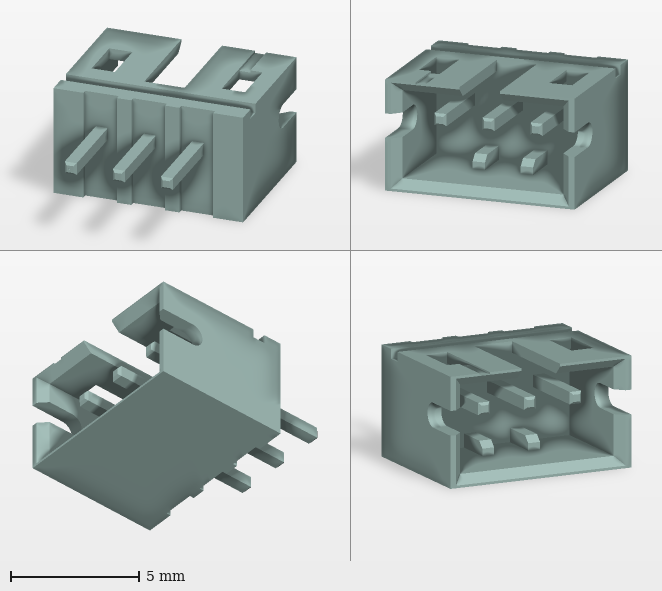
import cadquery as cq

overall_length = 9.4
body_width = 7.9
body_depth = 6.0
body_height = 4.5

pin_pitch = 2.0
pin_offsets = (-pin_pitch, 0.0, pin_pitch)
pin_size = 0.5
pin_height = 2.81
pin_tip_y = body_depth - overall_length
pin_inner_y = 5.11
pin_chamfer = 0.1
mark_diameter = 0.09
mark_depth = 0.05

side_wall = 0.6
top_wall = 0.46
bottom_wall = 0.46
cavity_back_y = 1.81
mouth_chamfer = 0.36
cavity_width = body_width - 2 * side_wall
cavity_height = body_height - top_wall - bottom_wall
cavity_mid_z = bottom_wall + cavity_height / 2

rib_width = 0.52
rib_height = 0.56
rib_end_y = 3.4
rib_chamfer = 0.26

top_slot_width = 1.68
window_width = 0.97
window_offset = 2.71
window_back_y = 2.25
window_front_y = 4.22
key_groove_width = 0.46
key_groove_depth = 0.09

channel_back_y = 0.83
channel_front_y = 1.38
channel_depth = 0.395

side_slot_height = 1.0
side_slot_depth = 2.0
side_slot_z = 2.63

recess_width = 1.4
recess_depth = 0.2


def block(x_range, y_range, z_range):
    """Box spanning the given (low, high) ranges."""
    sizes = [high - low for low, high in (x_range, y_range, z_range)]
    corner = (x_range[0], y_range[0], z_range[0])
    return cq.Workplane("XY").box(*sizes, centered=False).translate(corner)


def span(centre, width):
    """Range of the given width about a centre."""
    return (centre - width / 2, centre + width / 2)


def cavity():
    """Rectangular pocket open at the mouth, flared by a 45 degree lead-in."""
    pocket = block(
        span(0, cavity_width),
        (cavity_back_y, body_depth),
        span(cavity_mid_z, cavity_height),
    )
    flare = (
        cq.Workplane("XZ", origin=(0, body_depth, cavity_mid_z))
        .rect(cavity_width + 2 * mouth_chamfer, cavity_height + 2 * mouth_chamfer)
        .extrude(mouth_chamfer, taper=45)
    )
    return pocket.union(flare)


def top_openings():
    """Central slot, two windows and the shallow groove from one window to the mouth."""
    wall_z = (body_height - top_wall, body_height)
    openings = block(span(0, top_slot_width), (cavity_back_y, body_depth), wall_z)
    for side in (-1, 1):
        window_x = span(side * window_offset, window_width)
        openings = openings.union(block(window_x, (window_back_y, window_front_y), wall_z))
    groove_x = window_offset - window_width / 2
    return openings.union(
        block(
            (groove_x, groove_x + key_groove_width),
            (window_front_y, body_depth),
            (body_height - key_groove_depth, body_height),
        )
    )


def side_slots():
    """Round-ended slot through both side walls, open at the mouth."""
    low_z, high_z = span(side_slot_z, side_slot_height)
    deepest_y = body_depth - side_slot_depth
    arc_y = deepest_y + side_slot_height / 2
    return (
        cq.Workplane("YZ")
        .moveTo(body_depth, low_z)
        .lineTo(arc_y, low_z)
        .threePointArc((deepest_y, side_slot_z), (arc_y, high_z))
        .lineTo(body_depth, high_z)
        .close()
        .extrude(body_width / 2, both=True)
    )


def rib(x):
    """Floor rib centred on x, with a bevelled end facing the mouth."""
    return (
        block(span(x, rib_width), (cavity_back_y, rib_end_y), (bottom_wall, bottom_wall + rib_height))
        .edges(">Y and >Z")
        .chamfer(rib_chamfer)
    )


def pin(x):
    """Square pin centred on x, chamfered at both tips."""
    return (
        block(span(x, pin_size), (pin_tip_y, pin_inner_y), span(pin_height, pin_size))
        .faces("<Y or >Y")
        .chamfer(pin_chamfer)
    )


housing = block(span(0, body_width), (0, body_depth), (0, body_height))
housing = housing.cut(cavity()).cut(top_openings()).cut(side_slots())
housing = housing.cut(
    block(
        span(0, body_width),
        (channel_back_y, channel_front_y),
        (body_height - channel_depth, body_height),
    )
)
for pin_x in pin_offsets:
    housing = housing.cut(block(span(pin_x, recess_width), (0, recess_depth), (0, body_height)))

result = housing
for rib_x in (-pin_pitch / 2, pin_pitch / 2):
    result = result.union(rib(rib_x))
for pin_x in pin_offsets:
    result = result.union(pin(pin_x))

first_pin_mark = (
    cq.Workplane("XZ", origin=(pin_offsets[0], pin_tip_y + mark_depth, pin_height))
    .circle(mark_diameter / 2)
    .extrude(mark_depth)
)
result = result.cut(first_pin_mark)